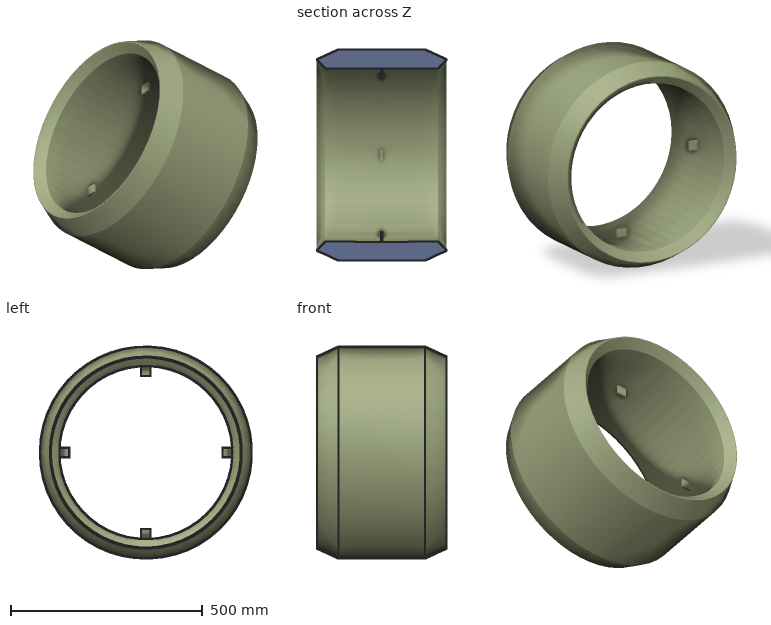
import cadquery as cq

LENGTH = 338.0
OUTER_DIAMETER = 552.0
BORE_DIAMETER = 450.0
END_DIAMETER = 500.0
END_LAND = 2.5
OUTER_TAPER_LENGTH = 56.5
INNER_TAPER_LENGTH = 22.5

TAB_COUNT = 4
TAB_WIDTH = 25.5
TAB_THICKNESS = 5.0
TAB_REACH = 26.0
TAB_ROOT = 5.0
TAB_CENTER_X = 0.5

BORE_RADIUS = BORE_DIAMETER / 2


def make_ring():
    """Thick ring with conical tapers outside and inside at both ends."""
    half_length = LENGTH / 2
    outer_radius = OUTER_DIAMETER / 2
    end_radius = END_DIAMETER / 2
    mouth_radius = end_radius - END_LAND
    outer_shoulder = half_length - OUTER_TAPER_LENGTH
    inner_shoulder = half_length - INNER_TAPER_LENGTH
    profile = (
        cq.Workplane("XY")
        .moveTo(-half_length, mouth_radius)
        .lineTo(-half_length, end_radius)
        .lineTo(-outer_shoulder, outer_radius)
        .lineTo(outer_shoulder, outer_radius)
        .lineTo(half_length, end_radius)
        .lineTo(half_length, mouth_radius)
        .lineTo(inner_shoulder, BORE_RADIUS)
        .lineTo(-inner_shoulder, BORE_RADIUS)
        .close()
    )
    return profile.revolve(360, (0, 0, 0), (1, 0, 0))


def make_tab(angle):
    """Rectangular tab at the given angle about X, rooted in the bore wall."""
    height = TAB_REACH + TAB_ROOT
    center_radius = BORE_RADIUS + TAB_ROOT - height / 2
    return (
        cq.Workplane("XY")
        .box(TAB_THICKNESS, TAB_WIDTH, height)
        .translate((TAB_CENTER_X, 0, center_radius))
        .rotate((0, 0, 0), (1, 0, 0), angle)
    )


result = make_ring()
for index in range(TAB_COUNT):
    result = result.union(make_tab(index * 360 / TAB_COUNT))